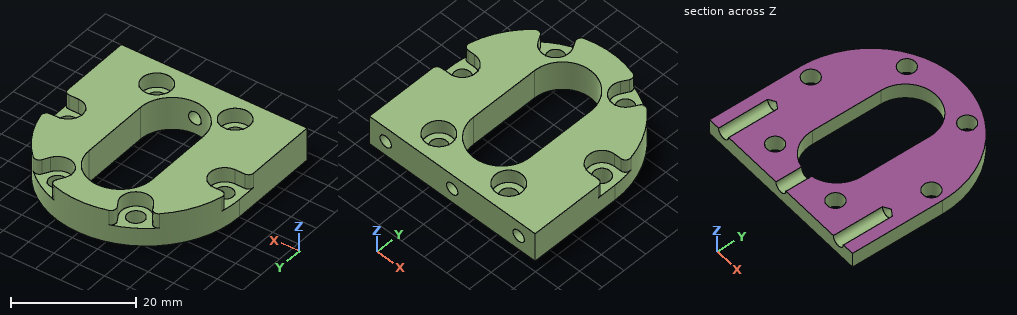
import cadquery as cq
import math

width = 36.8
thickness = 6.5
outer_radius = width / 2
front_y = -outer_radius

window_width = 12.5
window_length = 26.5

screw_count = 6
screw_pitch_radius = 15.5
screw_hole_diameter = 3.3
seat_diameter = 5.7
seat_depth = 2.9
seat_floor_z = thickness - seat_depth
open_seat_angles = (0, 60, 120, 180)
mouth_fillet = 1.0

edge_hole_diameter = 2.5
edge_hole_offset = 14.75
edge_hole_depth = 10.0
drill_point_angle = 118.0

tolerance = 1e-3


def screw_position(angle):
    """Centre of the screw hole at the given angle in degrees."""
    radians = math.radians(angle)
    return screw_pitch_radius * math.cos(radians), screw_pitch_radius * math.sin(radians)


def make_plate():
    """Solid plate with a half-round back end."""
    return (
        cq.Workplane("XY")
        .moveTo(-outer_radius, front_y)
        .lineTo(outer_radius, front_y)
        .lineTo(outer_radius, 0)
        .threePointArc((0, outer_radius), (-outer_radius, 0))
        .close()
        .extrude(thickness)
    )


def make_window():
    """Oblong cutter through the full thickness."""
    return cq.Workplane("XY").slot2D(window_length, window_width, 90).extrude(thickness)


def make_screw_hole(angle):
    """Through hole with a round seat for the screw head."""
    x, y = screw_position(angle)
    hole = cq.Workplane("XY").center(x, y).circle(screw_hole_diameter / 2).extrude(thickness)
    seat = (
        cq.Workplane("XY", origin=(x, y, seat_floor_z))
        .circle(seat_diameter / 2)
        .extrude(seat_depth)
    )
    return hole.union(seat)


def make_seat_channel(angle):
    """Radial channel that opens a screw seat to the outside of the plate."""
    length = outer_radius - screw_pitch_radius + seat_diameter
    return (
        cq.Workplane("XY", origin=(0, 0, seat_floor_z))
        .center(screw_pitch_radius + length / 2, 0)
        .rect(length, seat_diameter)
        .extrude(seat_depth)
        .rotate((0, 0, 0), (0, 0, 1), angle)
    )


def make_edge_hole(x, drilled_depth):
    """Hole from the front edge, ending in a drill-point cone."""
    radius = edge_hole_diameter / 2
    point_length = radius / math.tan(math.radians(drill_point_angle / 2))
    front_plane = cq.Plane(origin=(x, front_y, thickness / 2), xDir=(1, 0, 0), normal=(0, 0, 1))
    return (
        cq.Workplane(front_plane)
        .lineTo(radius, 0)
        .lineTo(radius, drilled_depth)
        .lineTo(0, drilled_depth + point_length)
        .close()
        .revolve(360, (0, 0), (0, 1))
    )


def is_mouth_edge(edge):
    """True for an upright seat edge lying on the outer wall of the plate."""
    centre = edge.Center()
    on_side_wall = centre.y < 0 and abs(abs(centre.x) - outer_radius) < tolerance
    on_round_wall = abs(math.hypot(centre.x, centre.y) - outer_radius) < tolerance
    return centre.z > seat_floor_z and (on_side_wall or on_round_wall)


result = make_plate()
for open_angle in open_seat_angles:
    result = result.cut(make_seat_channel(open_angle))
for index in range(screw_count):
    result = result.cut(make_screw_hole(index * 360 / screw_count))

mouth_edges = [edge for edge in result.edges("|Z").vals() if is_mouth_edge(edge)]
result = result.newObject(mouth_edges).fillet(mouth_fillet)

result = result.cut(make_window())

result = result.cut(make_edge_hole(0, outer_radius))
for side in (-1, 1):
    result = result.cut(make_edge_hole(side * edge_hole_offset, edge_hole_depth))